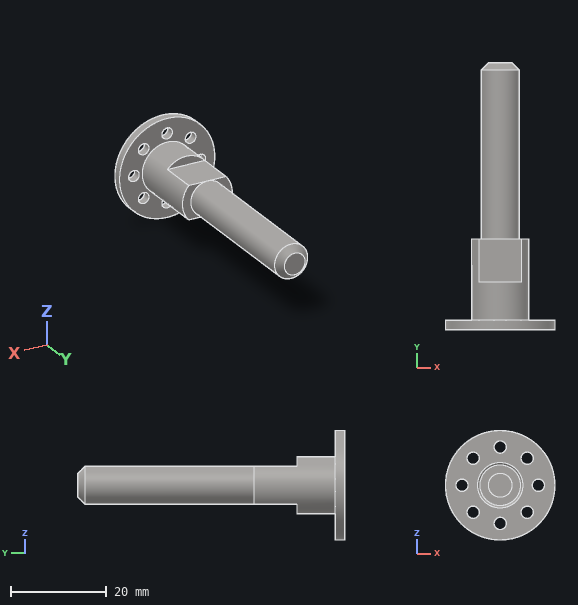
import cadquery as cq

total_length = 55.9
flange_thickness = 2.0
hub_end = 19.0
flats_start = 10.0
face_y = -total_length / 2

flange_diameter = 23.0
hub_diameter = 12.0
shaft_diameter = 8.0
tip_chamfer = 1.5

flats_width = shaft_diameter

recess_diameter = 8.5
recess_depth = 2.5
recess_chamfer = 0.5
bore_diameter = 5.0
bore_end = flats_start

hole_count = 8
hole_diameter = 2.5
hole_circle_diameter = 16.0


def cylinder(diameter, start, end):
    """Cylinder on the Y axis between two distances from the flange face."""
    disc = cq.Workplane("XZ", origin=(0, face_y + start, 0)).circle(diameter / 2)
    return disc.extrude(start - end)


def make_body():
    shaft = cylinder(shaft_diameter, 0, total_length).faces(">Y").chamfer(tip_chamfer)
    flange = cylinder(flange_diameter, 0, flange_thickness)
    return flange.union(make_hub()).union(shaft)


def make_hub():
    plain_hub = cylinder(hub_diameter, 0, flats_start)
    flats_length = hub_end - flats_start
    slab = cq.Workplane("XY").box(hub_diameter, flats_length, flats_width)
    slab = slab.translate((0, face_y + flats_start + flats_length / 2, 0))
    flatted_hub = cylinder(hub_diameter, flats_start, hub_end).intersect(slab)
    return plain_hub.union(flatted_hub)


def make_stepped_bore():
    recess = cylinder(recess_diameter, 0, recess_depth)
    bore = cylinder(bore_diameter, 0, bore_end)
    mouth = (
        cq.Workplane("XZ", origin=(0, face_y, 0))
        .circle(recess_diameter / 2 + recess_chamfer)
        .extrude(-recess_chamfer, taper=45)
    )
    return recess.union(bore).union(mouth)


def make_flange_holes():
    centres = cq.Workplane("XZ", origin=(0, face_y, 0)).polarArray(
        hole_circle_diameter / 2, 0, 360, hole_count
    )
    return centres.circle(hole_diameter / 2).extrude(-flange_thickness)


result = make_body().cut(make_stepped_bore()).cut(make_flange_holes())